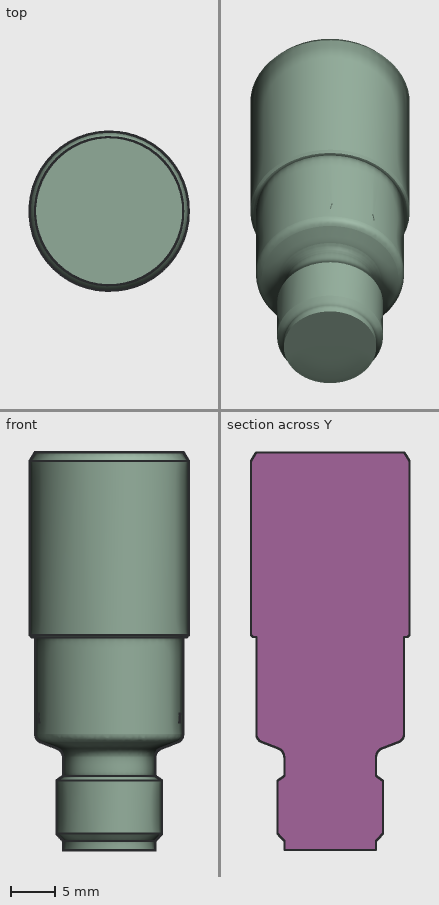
import cadquery as cq
import math

total_length = 45.05
cap_radius = 9.0

cap_bottom = 24.1
cap_top_chamfer_width = 0.65
cap_top_chamfer_height = 1.05
cap_lower_chamfer = 0.25

body_radius = 8.38
body_corner_radius = 1.0
shoulder_slope = 21
shoulder_base = 11.25
shoulder_root_radius = 1.0

neck_radius = 5.22
sleeve_radius = 6.0
sleeve_top = 7.9
sleeve_bottom = 1.9
sleeve_upper_chamfer_height = 0.55
sleeve_lower_chamfer_height = 0.8

slit_height = 14.95
slit_length = 1.0
slit_width = 0.15
slit_depth = 0.15
slit_offset = 2.5
slit_tilt = 11

shoulder_top = shoulder_base + (body_radius - neck_radius) * math.tan(math.radians(shoulder_slope))


def turned_blank():
    """Turn the sharp-cornered half section, given as (radius, height), around Z."""
    profile = [
        (0, 0),
        (neck_radius, 0),
        (neck_radius, sleeve_bottom - sleeve_lower_chamfer_height),
        (sleeve_radius, sleeve_bottom),
        (sleeve_radius, sleeve_top),
        (neck_radius, sleeve_top + sleeve_upper_chamfer_height),
        (neck_radius, shoulder_base),
        (body_radius, shoulder_top),
        (body_radius, cap_bottom),
        (cap_radius - cap_lower_chamfer, cap_bottom),
        (cap_radius, cap_bottom + cap_lower_chamfer),
        (cap_radius, total_length - cap_top_chamfer_height),
        (cap_radius - cap_top_chamfer_width, total_length),
        (0, total_length),
    ]
    return cq.Workplane("XZ").polyline(profile).close().revolve(360, (0, 0, 0), (0, 1, 0))


def circular_edge(body, height, radius):
    """Select the circular edge of the given radius at the given height."""
    margin = 0.05
    reach = radius + margin
    box = cq.selectors.BoxSelector(
        (-reach, -reach, height - margin),
        (reach, reach, height + margin),
        boundingbox=True,
    )
    return body.edges(box)


def round_shoulder(body):
    """Round the outer corner and the root of the sloped shoulder."""
    body = circular_edge(body, shoulder_top, body_radius).fillet(body_corner_radius)
    return circular_edge(body, shoulder_base, neck_radius).fillet(shoulder_root_radius)


def slit_cutter(y_sign):
    """Block for one slit on the +X side, at positive or negative Y."""
    angle = math.degrees(math.asin(slit_offset / body_radius))
    return (
        cq.Workplane("XY")
        .box(2 * slit_depth, slit_width, slit_length)
        .rotate((0, 0, 0), (1, 0, 0), y_sign * slit_tilt)
        .translate((body_radius, 0, slit_height))
        .rotate((0, 0, 0), (0, 0, 1), y_sign * angle)
    )


result = round_shoulder(turned_blank())
for y_sign in (-1, 1):
    cutter = slit_cutter(y_sign)
    result = result.cut(cutter).cut(cutter.mirror("YZ"))